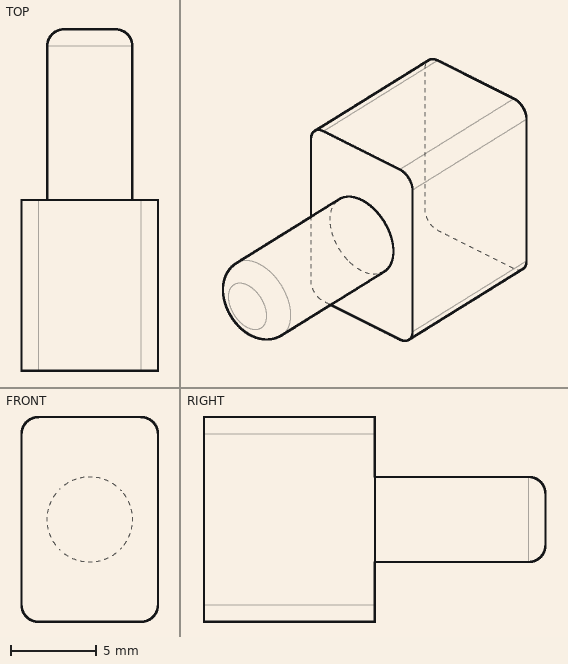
import cadquery as cq

head_width = 8.0
head_length = 10.0
head_height = 12.0
head_corner_radius = 1.0

pin_diameter = 5.0
pin_length = 10.0
pin_tip_radius = 1.0


def make_head():
    """Block along +Y with its four long edges rounded."""
    block = cq.Workplane("XY").box(head_width, head_length, head_height, centered=(True, False, True))
    return block.edges("|Y").fillet(head_corner_radius)


def make_pin():
    """Cylinder from the back face of the head along +Y, rounded at its tip."""
    back_plane = cq.Plane(origin=(0, head_length, 0), xDir=(1, 0, 0), normal=(0, 1, 0))
    pin = cq.Workplane(back_plane).circle(pin_diameter / 2).extrude(pin_length)
    return pin.faces(">Y").edges().fillet(pin_tip_radius)


result = make_head().union(make_pin())